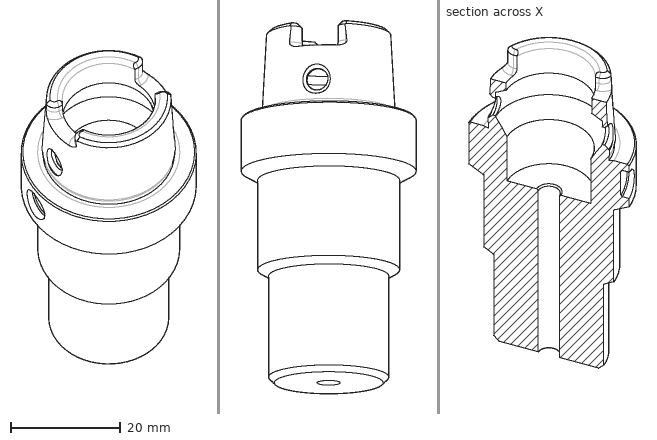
import cadquery as cq

total_height = 65.5
flange_top = 49.4
flange_bottom = 39.5
flange_cone_end = 37.8
body_bottom = 21.1
body_cone_end = 19.9
taper_bottom = 50.55
groove_top = 50.05
socket_floor = 38.0
undercut_bottom = 52.3
undercut_top = 58.95

flange_radius = 32.0 / 2
body_radius = 26.0 / 2
nose_radius = 22.0 / 2
groove_radius = 24.1 / 2
taper_base_radius = 12.2
taper_top_radius = 11.4

flange_chamfer = 0.3
nose_chamfer = 1.05
rim_chamfer = 0.65
face_relief_depth = 0.25

socket_radius = 17.0 / 2
undercut_radius = 10.6
undercut_rise = 1.2
undercut_drop = 4.0
lower_socket_radius = 8.3
socket_lip_radius = 0.85
center_hole_radius = 4.2 / 2
center_hole_chamfer = 0.3

slot_half_width = 3.4
slot_corner_radius = 1.7
slot_shoulder = 20.5 / 2
slot_floor_fillet = 1.0
slot_top_chamfer = 0.8
front_slot_depth = 3.0
back_slot_depth = 4.8
slot_reach_x = 9.2
slot_reach_y = 15.7

cross_hole_height = 54.4
cross_hole_diameter = 4.0
countersink_diameter = 5.65

flange_hole_height = 44.55
flange_hole_diameter = 6.0
flange_hole_depth = 1.65
flange_hole_bottom_chamfer = 0.25


def turned_body():
    """Solid of revolution of the whole outside."""
    outline = [
        (0, 0),
        (nose_radius - nose_chamfer, 0),
        (nose_radius, nose_chamfer),
        (nose_radius, body_cone_end),
        (body_radius, body_bottom),
        (body_radius, flange_cone_end),
        (flange_radius, flange_bottom),
        (flange_radius, flange_top - flange_chamfer),
        (flange_radius - flange_chamfer, flange_top),
        (body_radius, flange_top),
        (groove_radius, flange_top - face_relief_depth),
        (groove_radius, groove_top),
        (taper_base_radius, taper_bottom),
        (taper_top_radius, total_height - rim_chamfer),
        (taper_top_radius - rim_chamfer, total_height),
        (0, total_height),
    ]
    return cq.Workplane("XZ").polyline(outline).close().revolve(360, (0, 0), (0, 1))


def socket():
    """Undercut socket with a rounded mouth, and the central through hole."""
    lip_start = total_height - socket_lip_radius
    lip_outer = socket_radius + socket_lip_radius
    lip_middle = socket_lip_radius * (1 - 0.5**0.5)
    return (
        cq.Workplane("XZ")
        .moveTo(0, 0)
        .lineTo(center_hole_radius, 0)
        .lineTo(center_hole_radius, socket_floor - center_hole_chamfer)
        .lineTo(center_hole_radius + center_hole_chamfer, socket_floor)
        .lineTo(lower_socket_radius, socket_floor)
        .lineTo(lower_socket_radius, undercut_bottom - undercut_drop)
        .lineTo(undercut_radius, undercut_bottom)
        .lineTo(undercut_radius, undercut_top - undercut_rise)
        .lineTo(socket_radius, undercut_top)
        .lineTo(socket_radius, lip_start)
        .threePointArc((socket_radius + lip_middle, total_height - lip_middle), (lip_outer, total_height))
        .lineTo(0, total_height)
        .close()
        .revolve(360, (0, 0), (0, 1))
    )


def slot_plan(height):
    """Slot outline toward +Y, flaring past rounded corners into flat shoulders."""
    corner_x = slot_half_width + slot_corner_radius
    corner_y = slot_shoulder - slot_corner_radius
    middle = slot_corner_radius * 0.5**0.5
    return (
        cq.Workplane("XY", origin=(0, 0, height))
        .moveTo(-slot_half_width, 0)
        .lineTo(slot_half_width, 0)
        .lineTo(slot_half_width, corner_y)
        .threePointArc((corner_x - middle, corner_y + middle), (corner_x, slot_shoulder))
        .lineTo(slot_reach_x, slot_shoulder)
        .lineTo(slot_reach_x, slot_reach_y)
        .lineTo(-slot_reach_x, slot_reach_y)
        .lineTo(-slot_reach_x, slot_shoulder)
        .lineTo(-corner_x, slot_shoulder)
        .threePointArc((middle - corner_x, corner_y + middle), (-slot_half_width, corner_y))
        .close()
    )


def drive_slot(depth):
    """Slot cutter with a rounded floor edge and a chamfered mouth."""
    cutter = slot_plan(total_height - depth).extrude(depth).faces("<Z").edges().fillet(slot_floor_fillet)
    mouth = slot_plan(total_height - slot_top_chamfer).extrude(slot_top_chamfer, taper=-45)
    return cutter.union(mouth)


def cross_hole():
    """Through hole along Y, countersunk at both ends on the taper."""
    taper_slope = (taper_base_radius - taper_top_radius) / (total_height - rim_chamfer - taper_bottom)
    surface = taper_base_radius - taper_slope * (cross_hole_height - taper_bottom)
    hole_radius = cross_hole_diameter / 2
    sink_radius = countersink_diameter / 2
    sink_depth = sink_radius - hole_radius
    half_profile = [
        (0, 0),
        (hole_radius, 0),
        (hole_radius, surface - sink_depth),
        (sink_radius, surface),
        (sink_radius, flange_radius),
        (0, flange_radius),
    ]
    half = (
        cq.Workplane("XY", origin=(0, 0, cross_hole_height))
        .polyline(half_profile)
        .close()
        .revolve(360, (0, 0), (0, 1))
    )
    return half.union(half.mirror("XZ", (0, 0, 0)))


def flange_hole():
    """Flat blind hole in the -Y side of the flange."""
    return (
        cq.Workplane("XZ", origin=(0, -flange_radius, flange_hole_height))
        .circle(flange_hole_diameter / 2)
        .extrude(-flange_hole_depth)
        .faces(">Y")
        .chamfer(flange_hole_bottom_chamfer)
    )


front_slot = drive_slot(front_slot_depth).mirror("XZ", (0, 0, 0))
back_slot = drive_slot(back_slot_depth)

result = turned_body().cut(socket())
for cutter in (front_slot, back_slot, cross_hole(), flange_hole()):
    result = result.cut(cutter)